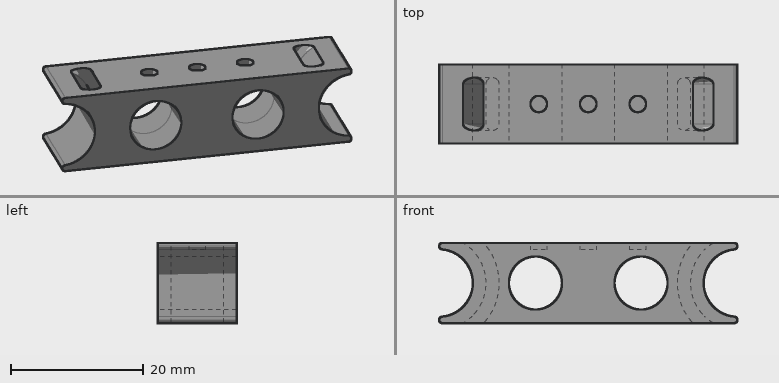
import cadquery as cq

length = 45.2
width = 12.0
height = 12.2

lip_thickness = 1.0
saddle_radius = height / 2 - lip_thickness
lip_fillet = lip_thickness / 2

channel_wall = 2.0
channel_inner_radius = saddle_radius + channel_wall
channel_thickness = 2.0
channel_width = 8.0
channel_mid_radius = channel_inner_radius + channel_thickness / 2

cross_hole_diameter = 8.0
cross_hole_spacing = 16.0

top_hole_diameter = 2.5
top_hole_spacing = 7.5
top_hole_depth = 1.0
top_hole_count = 3


def cylinder_along_y(radius, x):
    """Cylinder centred on the block's mid-height and longer than the block is wide."""
    return cq.Workplane("XZ").center(x, 0).circle(radius).extrude(width, both=True)


def make_block():
    """Block with a saddle in each end and rounded lip edges."""
    block = cq.Workplane("XY").box(length, width, height)
    for x in (-length / 2, length / 2):
        block = block.cut(cylinder_along_y(saddle_radius, x))
    return block.faces("<X or >X").edges("|Y").fillet(lip_fillet)


def strap_channel(x):
    """Ring with an obround section, revolved about the saddle axis at x."""
    return (
        cq.Workplane("XY")
        .center(x + channel_mid_radius, 0)
        .slot2D(channel_width, channel_thickness, 90)
        .revolve(360, (-channel_mid_radius, 0), (-channel_mid_radius, 1))
    )


def cut_strap_channels(body):
    for x in (-length / 2, length / 2):
        body = body.cut(strap_channel(x))
    return body


def cut_cross_holes(body):
    for x in (-cross_hole_spacing / 2, cross_hole_spacing / 2):
        body = body.cut(cylinder_along_y(cross_hole_diameter / 2, x))
    return body


def cut_top_holes(body):
    return (
        body.faces(">Z")
        .workplane(origin=(0, 0, height / 2))
        .rarray(top_hole_spacing, 1, top_hole_count, 1)
        .hole(top_hole_diameter, top_hole_depth)
    )


result = make_block()
result = cut_strap_channels(result)
result = cut_cross_holes(result)
result = cut_top_holes(result)